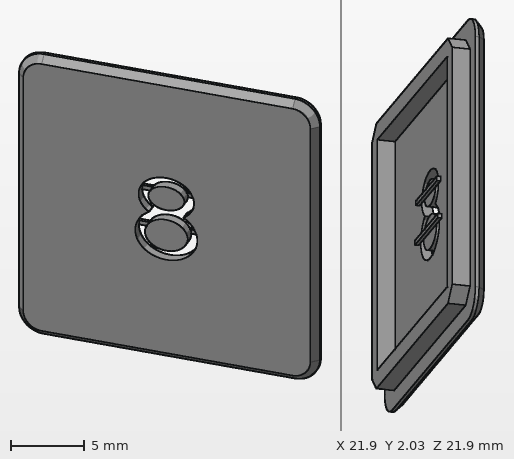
import cadquery as cq

plate_side = 21.85
plate_thickness = 0.76
corner_radius = 1.81
bevel = 0.5

frame_inset = 1.27
frame_side = plate_side - 2 * frame_inset
frame_depth = 1.27
frame_corner_cut = 1.03
frame_wall = 1.27
recess_side = frame_side - 2 * frame_wall

ring_center_x = -0.05
ring_width = 0.7
upper_ring = (1.64, 2.62, 1.81, 1.75)
lower_ring = (-1.22, 3.1, 2.42, -1.05)
rings = (upper_ring, lower_ring)

bridge_height = 0.33
bridge_thickness = 0.26
bridge_overlap = 0.5


def layer(front_y):
    """Sketch plane parallel to the plate; a negative extrusion runs towards the back (+Y)."""
    return cq.Workplane("XZ", origin=(0, front_y, 0))


def square_block(front_y, side, depth):
    return layer(front_y).rect(side, side).extrude(-depth)


def oval(center_z, width, height):
    """Oval prism through the full thickness of the plate."""
    outline = layer(0).center(ring_center_x, center_z).ellipse(width / 2, height / 2)
    return outline.extrude(-plate_thickness)


def island(ring):
    center_z, width, height, _ = ring
    return oval(center_z, width, height)


def opening(ring):
    center_z, width, height, _ = ring
    return oval(center_z, width + 2 * ring_width, height + 2 * ring_width)


def bridge(ring):
    _, width, _, bridge_z = ring
    length = width + 2 * (ring_width + bridge_overlap)
    outline = layer(plate_thickness).center(ring_center_x, bridge_z).rect(length, bridge_height)
    return outline.extrude(-bridge_thickness)


plate = square_block(0, plate_side, plate_thickness)
plate = plate.edges("|Y").fillet(corner_radius)
plate = plate.faces("<Y").chamfer(bevel)

frame = square_block(plate_thickness, frame_side, frame_depth)
frame = frame.edges("|Y").chamfer(frame_corner_cut)
frame = frame.cut(square_block(plate_thickness, recess_side, frame_depth))

result = plate.union(frame)

for ring in rings:
    result = result.cut(opening(ring))
for ring in rings:
    result = result.union(island(ring)).union(bridge(ring))